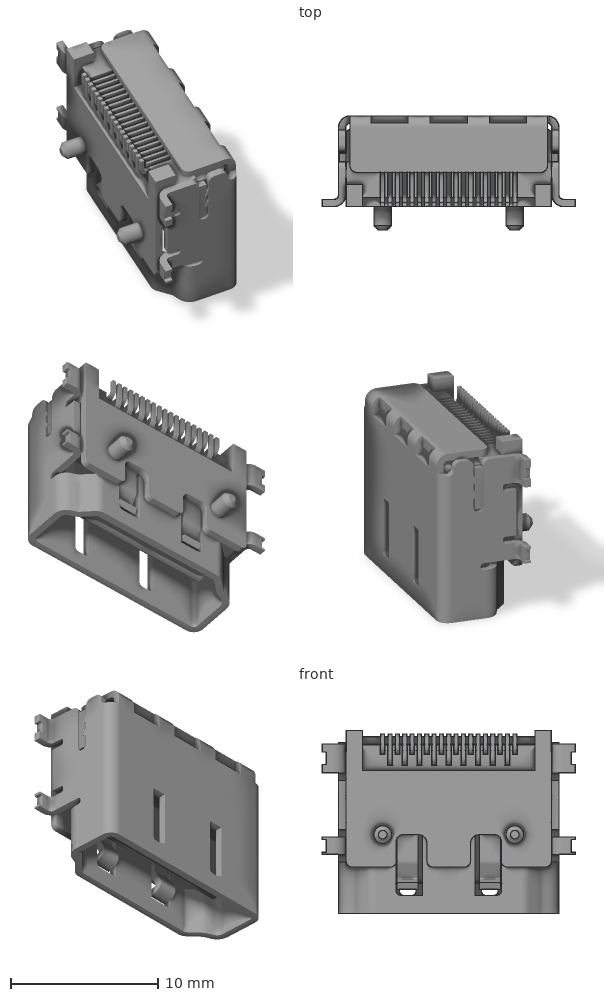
import cadquery as cq
import math


SHEET = 0.5
BEND_INSIDE = 0.31
BEND_OUTSIDE = BEND_INSIDE + SHEET
SHELL_HALF_WIDTH = 7.5
SIDE_INNER_X = SHELL_HALF_WIDTH - SHEET
BACK_Y = 6.17
BACK_INNER_Y = BACK_Y - SHEET
FRONT_Y = 0.62
FRONT_INNER_Y = FRONT_Y + SHEET
FRONT_WALL_TOP_Z = 8.95

KEY_SIDE_Y = 2.12
KEY_STEP_X, KEY_STEP_Y = 6.31, 1.62
KEY_FRONT_X = 5.25
KEY_SIDE_RADIUS = 1.08
KEY_STEP_RADIUS = 0.41
KEY_FRONT_RADIUS = 0.75
FRONT_FLAT_HALF_WIDTH = 4.99
SIDE_CURVE_END_Y = 2.8
KEYED_TOP_Z = 3.51
CORNER_TOP_Z = 10.66
CORNER_RELIEF_RADIUS = 0.5
TUBE_TOP_Z = CORNER_TOP_Z + CORNER_RELIEF_RADIUS

FLAP_HALF_WIDTH = 6.73
FLAP_TOP_Z = 12.02
FLAP_BOTTOM_Z = FLAP_TOP_Z - SHEET
FLAP_EDGE_Y = 2.32
FLAP_CORNER_RADIUS = 0.52
BEND_WINDOW_WIDTH = 2.53
BEND_WINDOW_PITCH = 4.02

PANEL_EDGE_Y = 0.64
PANEL_TOP_Z = 11.54
TAB_TOP_Z = 11.65
TAB_BACK_Y = 5.2
CORNER_RELIEF_Y = TAB_BACK_Y + CORNER_RELIEF_RADIUS
SIDE_CORNER_RADIUS = 0.46
RAIL_SLOT_Y = (3.05, 3.77)
RAIL_SLOT_BOTTOM_Z = 7.8
BARB_DEPTH = 0.25
BARB_HEIGHT = 0.65
BARB_TIP_DROP = 0.52
BARB_TOPS_Z = (10.51, 9.46)
RELIEF_HEIGHT = 0.52
SHORT_RELIEF_END_Y = 1.63
SHORT_RELIEF_RADIUS = 0.19
LONG_RELIEF_END_Y = 3.27
LONG_RELIEF_RADIUS = 0.24

FOOT_HALF_SPAN = 8.6
FOOT_NOTCH_DEPTH = 0.25
UPPER_FOOT_Z = (9.56, PANEL_TOP_Z)
UPPER_NOTCH_Z = (10.15, 10.97)
LOWER_FOOT_Z = (KEYED_TOP_Z + RELIEF_HEIGHT, 5.21)
LOWER_NOTCH_Z = (4.18, 5.02)

SPRING_X = (2.08, 3.51)
SPRING_WINDOW_X = (1.79, 3.6)
SPRING_WINDOW_Z = (1.24, 5.4)
SPRING_WINDOW_RADIUS = 0.35
SPRING_BEND_Z = 3.47
SPRING_APEX_Y, SPRING_APEX_Z = 1.24, 2.35
SPRING_BEND_RADIUS = 0.52
SPRING_APEX_RADIUS = 0.09
SPRING_TIP_Y, SPRING_TIP_Z = 0.58, 2.12
BACK_WINDOW_X = (2.24, 3.34)
BACK_WINDOW_RADIUS = 0.25

HOUSING_HALF_WIDTH = 6.98
HOUSING_TOP_Z = 12.45
PLATE_THICKNESS = 0.52
PLATE_BOTTOM_Z = 3.16
PLATE_CORNER_RADIUS = 0.41
PLATE_SLOT_X = (1.48, 3.56)
PLATE_SLOT_TOP_Z = 5.37
PLATE_SLOT_OUTER_RADIUS = 0.45
PLATE_SLOT_INNER_RADIUS = 0.6
BLOCK_TOP_Z = 11.47
BLOCK_REAR_TOP_Z = 11.11
BLOCK_REAR_RADIUS = 0.6
BLOCK_STEP_Y = 3.05
UPPER_BLOCK_BOTTOM_Z = 9.13
INNER_BLOCK_BOTTOM_Z = 6.2
REAR_CHAMFER_X, REAR_CHAMFER_Y = 0.88, 0.57
EAR_DEPTH = 1.51
RECESS_HALF_WIDTH = 5.85
RECESS_DEPTH = 0.64
RECESS_BOTTOM_Z = 9.74
RAIL_OUTER_X = 7.43
RAIL_Y = (3.08, 3.63)
RAIL_Z = (8.02, 11.0)
TONGUE_HALF_WIDTH = 5.68
TONGUE_Y = (2.94, 3.85)
TONGUE_BOTTOM_Z = 2.03
TONGUE_RADIUS = 0.4
POST_X = 4.49
POST_Z = 5.37
POST_DIAMETER = 1.2
POST_LENGTH = 1.6
POST_CHAMFER = 0.31

CONTACT_COUNT = 19
CONTACT_PITCH = 0.5
CONTACT_SIZE = 0.28
CONTACT_BEND_INSIDE = 0.3
CONTACT_TOP_Z = 12.21
SHORT_CONTACT_BOTTOM_Z = 10.82
LONG_CONTACT_BOTTOM_Z = 10.08
GROOVE_WIDTH = 0.35
CARRIER_HALF_WIDTH = 4.7
CARRIER_Y = (2.4, 2.92)


def block(x_range, y_range, z_range):
    """Axis-aligned box between the given limits."""
    lows = [min(r) for r in (x_range, y_range, z_range)]
    sizes = [max(r) - min(r) for r in (x_range, y_range, z_range)]
    return cq.Workplane("XY").box(*sizes, centered=False).translate(tuple(lows))


def centered_block(half_width, y_range, z_range):
    """Box that is symmetric about the YZ plane."""
    return block((-half_width, half_width), y_range, z_range)


def side_prism(points, x_range):
    """Prism along X with an outline of (y, z) points."""
    length = x_range[1] - x_range[0]
    prism = cq.Workplane("YZ").polyline(points).close().extrude(length)
    return prism.translate((x_range[0], 0, 0))


def fillet_along(body, direction, point, radius):
    """Rounds the one edge along the given direction that lies nearest to the point."""
    nearest = cq.selectors.NearestToPointSelector(point)
    return body.edges(direction).edges(nearest).fillet(radius)


def both_sides(body):
    """The body together with its mirror image across the YZ plane."""
    return body.union(body.mirror("YZ"))


def make_tube():
    """Keyed tube around the plug opening, with an even wall thickness."""
    half = [
        (SHELL_HALF_WIDTH, BACK_Y),
        (SHELL_HALF_WIDTH, KEY_SIDE_Y),
        (KEY_STEP_X, KEY_STEP_Y),
        (KEY_FRONT_X, FRONT_Y),
    ]
    radii = [BEND_OUTSIDE, KEY_SIDE_RADIUS, KEY_STEP_RADIUS, KEY_FRONT_RADIUS]
    outline = half + [(-x, y) for x, y in reversed(half)]
    solid = cq.Workplane("XY").polyline(outline).close().extrude(TUBE_TOP_Z)
    for (x, y), radius in zip(half, radii):
        for side in (-1, 1):
            solid = fillet_along(solid, "|Z", (side * x, y, TUBE_TOP_Z / 2), radius)
    outer_wire = solid.faces("<Z").wires().val()
    cavity = cq.Workplane("XY").add(outer_wire.offset2D(-SHEET)).toPending().extrude(TUBE_TOP_Z)
    return solid.cut(cavity)


def corner_relief():
    """Space beside the flap above the right rear corner, rounded where it meets the tab."""
    beside_flap = (FLAP_HALF_WIDTH, SHELL_HALF_WIDTH)
    round_part = (
        cq.Workplane("YZ", origin=(FLAP_HALF_WIDTH, 0, 0))
        .center(CORNER_RELIEF_Y, TUBE_TOP_Z)
        .circle(CORNER_RELIEF_RADIUS)
        .extrude(SHELL_HALF_WIDTH - FLAP_HALF_WIDTH)
    )
    return block(beside_flap, (CORNER_RELIEF_Y, BACK_Y), (CORNER_TOP_Z, TUBE_TOP_Z)).union(round_part)


def trim_tube(tube):
    """Removes the keyed corners, the top of the front wall and the top of the rear corners."""
    front = (0, SIDE_CURVE_END_Y)
    corner = block((FRONT_FLAT_HALF_WIDTH, SHELL_HALF_WIDTH), front, (KEYED_TOP_Z, TUBE_TOP_Z))
    wall_top = centered_block(FRONT_FLAT_HALF_WIDTH, front, (FRONT_WALL_TOP_Z, TUBE_TOP_Z))
    return tube.cut(both_sides(corner.union(corner_relief()))).cut(wall_top)


def make_flap():
    """Back wall top, bent over into the flap."""
    profile = [
        (BACK_Y, CORNER_TOP_Z),
        (BACK_Y, FLAP_TOP_Z),
        (FLAP_EDGE_Y, FLAP_TOP_Z),
        (FLAP_EDGE_Y, FLAP_BOTTOM_Z),
        (BACK_INNER_Y, FLAP_BOTTOM_Z),
        (BACK_INNER_Y, CORNER_TOP_Z),
    ]
    flap = side_prism(profile, (-FLAP_HALF_WIDTH, FLAP_HALF_WIDTH))
    flap = flap.edges("|X and >Y and >Z").fillet(BEND_OUTSIDE)
    flap = fillet_along(flap, "|X", (0, BACK_INNER_Y, FLAP_BOTTOM_Z), BEND_INSIDE)
    return flap.edges("|Z and <Y").fillet(FLAP_CORNER_RADIUS)


def bend_windows():
    """Three windows in the back wall along the bend of the flap."""
    window = centered_block(BEND_WINDOW_WIDTH / 2, (BACK_INNER_Y, BACK_Y), (CORNER_TOP_Z, FLAP_TOP_Z))
    windows = window
    for side in (-1, 1):
        windows = windows.union(window.translate((side * BEND_WINDOW_PITCH, 0, 0)))
    return windows


def relief_slot(end_y, bottom_z, corner_radius):
    """Slot through the side wall, open towards the mounting face, with a rounded end."""
    walls = (FRONT_FLAT_HALF_WIDTH, SHELL_HALF_WIDTH)
    slot = block(walls, (0, end_y), (bottom_z, bottom_z + RELIEF_HEIGHT))
    return slot.edges("|X and >Y").fillet(corner_radius)


def make_side_wall():
    """Right side wall above the keyed profile, before its relief slots."""
    walls = (SIDE_INNER_X, SHELL_HALF_WIDTH)
    slot_low, slot_high = RAIL_SLOT_Y
    base = block(walls, (PANEL_EDGE_Y, TAB_BACK_Y), (KEYED_TOP_Z, RAIL_SLOT_BOTTOM_Z))
    panel = block(walls, (PANEL_EDGE_Y, slot_low), (KEYED_TOP_Z, PANEL_TOP_Z))
    panel = panel.edges("|X and >Y and >Z").fillet(SIDE_CORNER_RADIUS)
    tab = block(walls, (slot_high, TAB_BACK_Y), (KEYED_TOP_Z, TAB_TOP_Z))
    tab = tab.edges("|X and >Z").fillet(SIDE_CORNER_RADIUS)
    return base.union(panel).union(tab)


def rail_slot():
    """Round-bottomed slot, open at the top, that receives the rail of the housing."""
    walls = (SIDE_INNER_X, SHELL_HALF_WIDTH)
    radius = (RAIL_SLOT_Y[1] - RAIL_SLOT_Y[0]) / 2
    center_z = RAIL_SLOT_BOTTOM_Z + radius
    bottom = (
        cq.Workplane("YZ", origin=(SIDE_INNER_X, 0, 0))
        .center(sum(RAIL_SLOT_Y) / 2, center_z)
        .circle(radius)
        .extrude(SHEET)
    )
    return block(walls, RAIL_SLOT_Y, (center_z, TAB_TOP_Z)).union(bottom)


def make_barb(top_z):
    """Tooth on the tab that bites into the rail."""
    edge_y = RAIL_SLOT_Y[1]
    points = [
        (edge_y, top_z),
        (edge_y - BARB_DEPTH, top_z - BARB_TIP_DROP),
        (edge_y, top_z - BARB_HEIGHT),
    ]
    return side_prism(points, (SIDE_INNER_X, SHELL_HALF_WIDTH))


def make_foot(z_range, notch_z):
    """Right solder foot, bent outwards from the side wall and notched at its end."""
    outline = [
        (SIDE_INNER_X, SHORT_RELIEF_END_Y),
        (SIDE_INNER_X, 0),
        (FOOT_HALF_SPAN, 0),
        (FOOT_HALF_SPAN, SHEET),
        (SHELL_HALF_WIDTH, SHEET),
        (SHELL_HALF_WIDTH, SHORT_RELIEF_END_Y),
    ]
    foot = cq.Workplane("XY", origin=(0, 0, z_range[0])).polyline(outline).close()
    foot = foot.extrude(z_range[1] - z_range[0])
    middle_z = sum(z_range) / 2
    foot = fillet_along(foot, "|Z", (SHELL_HALF_WIDTH, SHEET, middle_z), BEND_INSIDE)
    foot = fillet_along(foot, "|Z", (SIDE_INNER_X, 0, middle_z), BEND_OUTSIDE)
    notch = block((FOOT_HALF_SPAN - FOOT_NOTCH_DEPTH, FOOT_HALF_SPAN), (0, SHEET), notch_z)
    return foot.cut(notch)


def make_right_side():
    """Right side wall with its slots, barbs and feet."""
    side = make_side_wall().cut(rail_slot())
    for top_z in BARB_TOPS_Z:
        side = side.union(make_barb(top_z))
    side = side.union(make_foot(UPPER_FOOT_Z, UPPER_NOTCH_Z))
    return side.union(make_foot(LOWER_FOOT_Z, LOWER_NOTCH_Z))


def make_spring():
    """Right latch spring: runs down, dips into the opening and returns to the front face."""
    face = [
        (FRONT_Y, SPRING_WINDOW_Z[1]),
        (FRONT_Y, SPRING_BEND_Z),
        (SPRING_APEX_Y, SPRING_APEX_Z),
        (SPRING_TIP_Y, SPRING_TIP_Z),
    ]
    angles = [math.atan2(z1 - z0, y1 - y0) for (y0, z0), (y1, z1) in zip(face, face[1:])]
    before = angles[:1] + angles
    after = angles + angles[-1:]
    inner_face = []
    for (y, z), angle_in, angle_out in zip(face, before, after):
        turn = (angle_out - angle_in + math.pi) % (2 * math.pi) - math.pi
        reach = SHEET / math.cos(turn / 2)
        normal = angle_in + turn / 2 + math.pi / 2
        inner_face.append((y + reach * math.cos(normal), z + reach * math.sin(normal)))
    spring = side_prism(face + inner_face[::-1], SPRING_X)
    middle_x = sum(SPRING_X) / 2
    spring = fillet_along(spring, "|X", (middle_x, *face[1]), SPRING_BEND_RADIUS)
    spring = fillet_along(spring, "|X", (middle_x, *face[2]), SPRING_APEX_RADIUS)
    return fillet_along(spring, "|X", (middle_x, *inner_face[2]), SPRING_APEX_RADIUS + SHEET)


def spring_windows():
    """Openings around the right spring in the front wall and behind it in the back wall."""
    front = block(SPRING_WINDOW_X, (0, FRONT_INNER_Y), SPRING_WINDOW_Z)
    front = front.edges("|Y and >X and <Z").fillet(SPRING_WINDOW_RADIUS)
    back = block(BACK_WINDOW_X, (BACK_INNER_Y, BACK_Y), SPRING_WINDOW_Z)
    back = back.edges("|Y and <Z").fillet(BACK_WINDOW_RADIUS)
    return front.union(back)


def side_reliefs():
    """Relief slots above and below the feet of the right side wall."""
    below_upper_foot = UPPER_FOOT_Z[0] - RELIEF_HEIGHT
    above_lower_foot = LOWER_FOOT_Z[1]
    slots = relief_slot(LONG_RELIEF_END_Y, KEYED_TOP_Z, LONG_RELIEF_RADIUS)
    for bottom_z in (below_upper_foot, above_lower_foot):
        slots = slots.union(relief_slot(SHORT_RELIEF_END_Y, bottom_z, SHORT_RELIEF_RADIUS))
    return slots


def make_shell():
    """Shell folded from one sheet: keyed tube, flap, side walls with feet, and springs."""
    shell = trim_tube(make_tube()).cut(both_sides(rail_slot()))
    shell = shell.union(make_flap()).cut(bend_windows()).union(both_sides(make_right_side()))
    shell = shell.cut(both_sides(side_reliefs())).cut(both_sides(spring_windows()))
    return shell.union(both_sides(make_spring()))


def contact_positions():
    """X position and lowest level of each contact, short and long ones in turn."""
    first_x = -CONTACT_PITCH * (CONTACT_COUNT - 1) / 2
    levels = (SHORT_CONTACT_BOTTOM_Z, LONG_CONTACT_BOTTOM_Z)
    return [(first_x + i * CONTACT_PITCH, levels[i % 2]) for i in range(CONTACT_COUNT)]


def make_contact(x, bottom_z):
    """Solder tail on the mounting face, bent into a run towards the carrier."""
    outline = [
        (0, CONTACT_TOP_Z),
        (0, bottom_z),
        (CARRIER_Y[1], bottom_z),
        (CARRIER_Y[1], bottom_z + CONTACT_SIZE),
        (CONTACT_SIZE, bottom_z + CONTACT_SIZE),
        (CONTACT_SIZE, CONTACT_TOP_Z),
    ]
    contact = side_prism(outline, (-CONTACT_SIZE / 2, CONTACT_SIZE / 2))
    contact = contact.edges("|X and <Y and <Z").fillet(CONTACT_BEND_INSIDE + CONTACT_SIZE)
    inside = (0, CONTACT_SIZE, bottom_z + CONTACT_SIZE)
    contact = fillet_along(contact, "|X", inside, CONTACT_BEND_INSIDE)
    return contact.translate((x, 0, 0))


def make_carrier():
    """Bar that holds all the contacts in one row."""
    top_z = SHORT_CONTACT_BOTTOM_Z + CONTACT_SIZE
    return centered_block(CARRIER_HALF_WIDTH, CARRIER_Y, (LONG_CONTACT_BOTTOM_Z, top_z))


def make_contact_set():
    """All the contacts joined by their carrier."""
    contact_set = make_carrier()
    for x, bottom_z in contact_positions():
        contact_set = contact_set.union(make_contact(x, bottom_z))
    return contact_set


def make_plate():
    """Mounting plate with rounded lower corners and two open slots for the springs."""
    plate = centered_block(HOUSING_HALF_WIDTH, (0, PLATE_THICKNESS), (PLATE_BOTTOM_Z, BLOCK_TOP_Z))
    slot = block(PLATE_SLOT_X, (0, PLATE_THICKNESS), (PLATE_BOTTOM_Z, PLATE_SLOT_TOP_Z))
    slot = slot.edges("|Y and >Z and >X").fillet(PLATE_SLOT_OUTER_RADIUS)
    slot = slot.edges("|Y and >Z and <X").fillet(PLATE_SLOT_INNER_RADIUS)
    plate = plate.cut(both_sides(slot))
    return plate.edges("|Y and <Z").fillet(PLATE_CORNER_RADIUS)


def make_body_block():
    """Block behind the plate and inside the shell, lower, rounded and chamfered at the rear."""
    upper = centered_block(
        HOUSING_HALF_WIDTH, (0, BACK_INNER_Y), (UPPER_BLOCK_BOTTOM_Z, BLOCK_TOP_Z)
    )
    inner = centered_block(
        HOUSING_HALF_WIDTH, (FRONT_INNER_Y, BACK_INNER_Y), (INNER_BLOCK_BOTTOM_Z, UPPER_BLOCK_BOTTOM_Z)
    )
    rear_step = centered_block(
        HOUSING_HALF_WIDTH, (BLOCK_STEP_Y, BACK_INNER_Y), (BLOCK_REAR_TOP_Z, BLOCK_TOP_Z)
    )
    body = upper.union(inner).cut(rear_step)
    rear_edge = (0, BACK_INNER_Y, BLOCK_REAR_TOP_Z)
    body = fillet_along(body, "|X", rear_edge, BLOCK_REAR_RADIUS)
    corner = [
        (HOUSING_HALF_WIDTH, BACK_INNER_Y),
        (HOUSING_HALF_WIDTH - REAR_CHAMFER_X, BACK_INNER_Y),
        (HOUSING_HALF_WIDTH, BACK_INNER_Y - REAR_CHAMFER_Y),
    ]
    return body.cut(both_sides(cq.Workplane("XY").polyline(corner).close().extrude(BLOCK_TOP_Z)))


def make_ear():
    """Right upright at the end of the contact recess."""
    return block((RECESS_HALF_WIDTH, HOUSING_HALF_WIDTH), (0, EAR_DEPTH), (BLOCK_TOP_Z, HOUSING_TOP_Z))


def make_rail():
    """Right rail that fills the slot in the side wall of the shell."""
    return block((HOUSING_HALF_WIDTH, RAIL_OUTER_X), RAIL_Y, RAIL_Z)


def make_tongue():
    """Tongue in the plug opening, rounded at its free end."""
    tongue = centered_block(TONGUE_HALF_WIDTH, TONGUE_Y, (TONGUE_BOTTOM_Z, INNER_BLOCK_BOTTOM_Z))
    return tongue.edges("|X and <Z").fillet(TONGUE_RADIUS)


def make_post():
    """Right locating post with a tapered end."""
    post = cq.Workplane("XZ", origin=(POST_X, 0, POST_Z)).circle(POST_DIAMETER / 2).extrude(POST_LENGTH)
    return post.faces("<Y").chamfer(POST_CHAMFER)


def contact_grooves():
    """Open groove around each contact, down to the lower side of its run."""
    grooves = centered_block(CARRIER_HALF_WIDTH, CARRIER_Y, (LONG_CONTACT_BOTTOM_Z, BLOCK_TOP_Z))
    for x, bottom_z in contact_positions():
        groove = centered_block(GROOVE_WIDTH / 2, (0, CARRIER_Y[1]), (bottom_z, BLOCK_TOP_Z))
        grooves = grooves.union(groove.translate((x, 0, 0)))
    return grooves


def make_housing(shell):
    """Housing; the shell is subtracted so that its barbs sit in matching notches."""
    recess = centered_block(RECESS_HALF_WIDTH, (0, RECESS_DEPTH), (RECESS_BOTTOM_Z, BLOCK_TOP_Z))
    housing = make_plate().union(make_body_block()).union(make_tongue())
    housing = housing.union(both_sides(make_ear())).union(both_sides(make_rail()))
    housing = housing.union(both_sides(make_post()))
    return housing.cut(recess).cut(contact_grooves()).cut(shell)


shell = make_shell()
housing = make_housing(shell)
contact_set = make_contact_set()

result = cq.Compound.makeCompound(
    [*shell.solids().vals(), *housing.solids().vals(), *contact_set.solids().vals()]
)